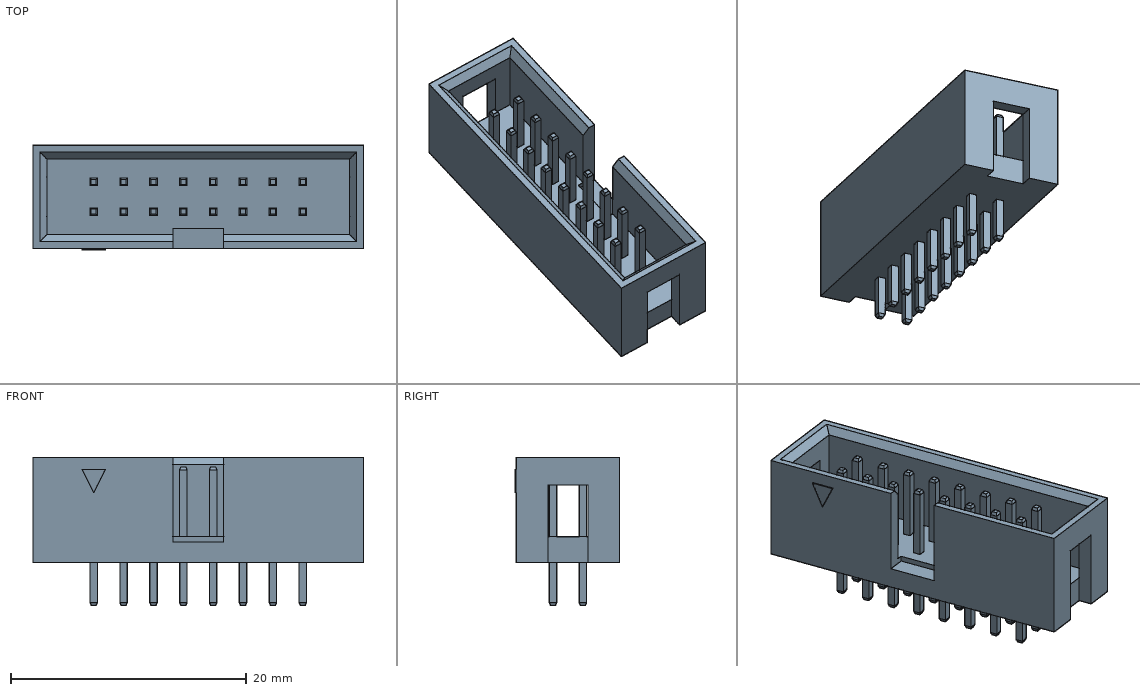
import cadquery as cq

length = 28.12
depth = 8.8
height = 8.95
cavity_length = 25.73
wall = (length - cavity_length) / 2
floor_thickness = 2.2
rim_chamfer = wall / 2

notch_width = 4.3
notch_bottom = 1.75
notch_reach = 1.7

slot_width = 3.37
slot_top = 6.58

columns = 8
rows = 2
row_length = 17.77
pitch = row_length / (columns - 1)
pin_width = 0.65
tip_width = 0.42
tip_height = 0.25
pin_top = height - 0.82
pin_bottom = -3.65

marker_size = 2.0
marker_thickness = 0.1
marker_top = height - 1.0


def block(size_x, size_y, bottom, top):
    """Box centred on X and Y between two heights."""
    return (
        cq.Workplane("XY")
        .workplane(offset=bottom)
        .rect(size_x, size_y)
        .extrude(top - bottom)
    )


def make_housing():
    cavity = block(cavity_length, depth - 2 * wall, floor_thickness, height)
    shell = block(length, depth, 0, height).cut(cavity)
    inner_rim = cq.selectors.BoxSelector(
        (-length / 2 + rim_chamfer, -depth / 2 + rim_chamfer, height - rim_chamfer),
        (length / 2 - rim_chamfer, depth / 2 - rim_chamfer, height + rim_chamfer),
    )
    return shell.faces(">Z").edges(inner_rim).chamfer(rim_chamfer)


def make_notch():
    notch = block(notch_width, notch_reach, notch_bottom, height)
    return notch.translate((0, (notch_reach - depth) / 2, 0))


def make_end_slot(side):
    """Slot through one end wall; side is -1 or +1 along X."""
    slot = block(wall, slot_width, 0, slot_top)
    return slot.translate((side * (length - wall) / 2, 0, 0))


def make_tip(base, direction):
    """Tapered pin end starting at height base; direction is -1 or +1 along Z."""
    return (
        cq.Workplane("XY")
        .workplane(offset=base)
        .rect(pin_width, pin_width)
        .workplane(offset=direction * tip_height)
        .rect(tip_width, tip_width)
        .loft(ruled=True)
    )


def make_pin():
    shaft_top = pin_top - tip_height
    shaft_bottom = pin_bottom + tip_height
    shaft = block(pin_width, pin_width, shaft_bottom, shaft_top)
    return shaft.union(make_tip(shaft_top, 1)).union(make_tip(shaft_bottom, -1))


def make_marker():
    """Triangle on the front wall, pointing down at the first pin column."""
    centre = -row_length / 2
    return (
        cq.Workplane("XZ", origin=(0, -depth / 2, 0))
        .moveTo(centre - marker_size / 2, marker_top)
        .lineTo(centre + marker_size / 2, marker_top)
        .lineTo(centre, marker_top - marker_size)
        .close()
        .extrude(marker_thickness)
    )


result = make_housing().cut(make_notch())
for side in (-1, 1):
    result = result.cut(make_end_slot(side))
result = result.union(make_marker())

pin = make_pin()
for column in range(columns):
    for row in range(rows):
        pin_x = (column - (columns - 1) / 2) * pitch
        pin_y = (row - (rows - 1) / 2) * pitch
        result = result.union(pin.translate((pin_x, pin_y, 0)))